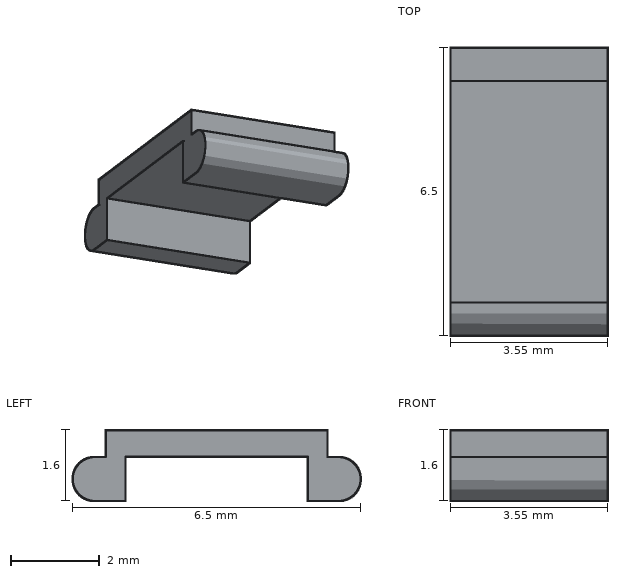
import cadquery as cq

width = 3.55
overall_length = 6.5
plate_length = 5.0
plate_thickness = 0.6
foot_height = 1.0
channel_length = 4.1

overall_height = foot_height + plate_thickness
foot_radius = foot_height / 2
foot_tip_y = overall_length / 2
foot_arc_y = foot_tip_y - foot_radius
plate_edge_y = plate_length / 2
channel_edge_y = channel_length / 2


def bridge_profile():
    """Closed YZ outline: a plate carried by two feet with full-round outer ends."""
    return (
        cq.Workplane("YZ")
        .moveTo(channel_edge_y, 0)
        .lineTo(foot_arc_y, 0)
        .threePointArc((foot_tip_y, foot_radius), (foot_arc_y, foot_height))
        .lineTo(plate_edge_y, foot_height)
        .lineTo(plate_edge_y, overall_height)
        .lineTo(-plate_edge_y, overall_height)
        .lineTo(-plate_edge_y, foot_height)
        .lineTo(-foot_arc_y, foot_height)
        .threePointArc((-foot_tip_y, foot_radius), (-foot_arc_y, 0))
        .lineTo(-channel_edge_y, 0)
        .lineTo(-channel_edge_y, foot_height)
        .lineTo(channel_edge_y, foot_height)
        .close()
    )


result = bridge_profile().extrude(width / 2, both=True)